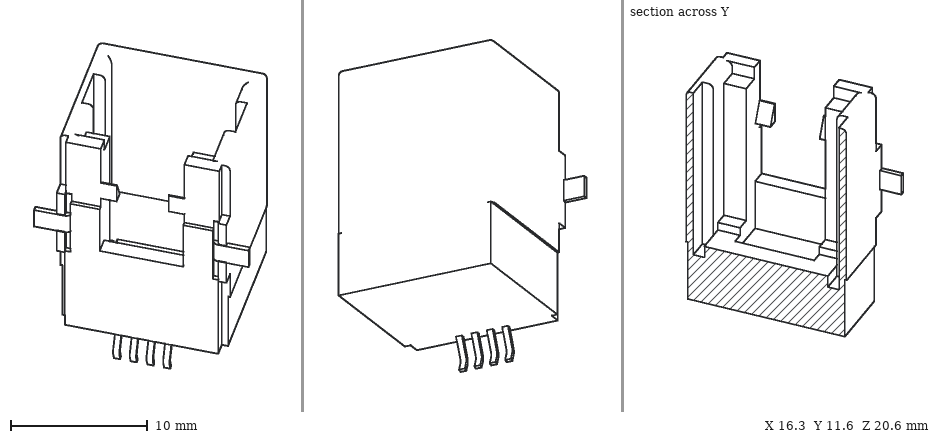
import cadquery as cq
import math


depth = 11.5
height = 18.05
shell_half = 6.45
base_half = 6.3
front_half = 5.83
base_top = 4.95
front_band = 1.0
outer_round = 0.4

setback = 0.3
setback_bottom = 12.25

cavity_half = 4.96
cavity_front = 1.3
cavity_back = 9.7
cavity_floor = base_top
mouth_round = 0.43

recess_floor = 4.0
groove_half = front_half
groove_front = 4.7
groove_back = 7.9

slot_half = 3.175
slot_bottom = 8.08
pocket_front = 1.2
pocket_back = 4.78

guide_back = 2.79
guide_top = 17.05
step_back = 3.88
step_top = 5.6

catch_inner = 1.97
catch_top = 14.63
catch_bottom = 13.07
catch_land = 0.4
catch_back = 1.14

cheek_bottom = 7.28
cheek_top = 13.08
tab_slot_inner = 5.4
tab_slot_depth = 0.35
tab_slot_clearance = 0.15

overall_half_width = 16.31 / 2
tab_thickness = 0.38
tab_proud = 0.07
tab_bottom = 9.35
tab_top = 11.0
tab_bend_outer = front_half - tab_slot_inner
tab_bend_inner = tab_bend_outer - tab_thickness

pin_count = 4
pin_pitch = 1.27
pin_width = 0.48
pin_thickness = 0.27
pin_drop = 2.55
pin_proud = 0.1
pin_bend_radius = 0.75
pin_bend_top = -1.43
pin_upper_angle = math.radians(23.4)
pin_lower_angle = math.radians(20)
pin_embed = 0.8


def block(x0, x1, y0, y1, z0, z1):
    """Box given by its limits along each axis."""
    return cq.Workplane("XY").box(x1 - x0, y1 - y0, z1 - z0, centered=False).translate((x0, y0, z0))


def both_sides(shape):
    """The shape together with its mirror image across X = 0."""
    return shape.union(shape.mirror("YZ"))


def make_shell():
    upper = block(-shell_half, shell_half, front_band, depth, base_top, height)
    upper = upper.edges("|Z and >Y").fillet(outer_round)
    upper = upper.faces(">Z").edges("not <Y").fillet(outer_round)
    base = block(-base_half, base_half, front_band, depth, 0, base_top)
    front = block(-front_half, front_half, 0, front_band, 0, height)
    cheek = block(front_half, shell_half, 0, front_band, cheek_bottom, cheek_top)
    cut = block(-front_half, front_half, 0, setback, setback_bottom, height)
    return upper.union(base).union(front.cut(cut)).union(both_sides(cheek))


def make_cavity():
    """Cavity with a rounded mouth on its back and sides and a square front edge."""
    arc_mid = mouth_round * (1 - math.sqrt(0.5))
    mid_z = height - arc_mid
    arc_start = height - mouth_round
    mouth_half = cavity_half + mouth_round
    mouth_back = cavity_back + mouth_round

    across = (
        cq.Workplane("XZ")
        .moveTo(-cavity_half, cavity_floor)
        .lineTo(cavity_half, cavity_floor)
        .lineTo(cavity_half, arc_start)
        .threePointArc((cavity_half + arc_mid, mid_z), (mouth_half, height))
        .lineTo(-mouth_half, height)
        .threePointArc((-cavity_half - arc_mid, mid_z), (-cavity_half, arc_start))
        .close()
        .extrude(-depth)
    )
    along = (
        cq.Workplane("YZ")
        .moveTo(cavity_front, cavity_floor)
        .lineTo(cavity_back, cavity_floor)
        .lineTo(cavity_back, arc_start)
        .threePointArc((cavity_back + arc_mid, mid_z), (mouth_back, height))
        .lineTo(cavity_front, height)
        .close()
        .extrude(shell_half, both=True)
    )
    return across.intersect(along)


def make_groove():
    return block(cavity_half, groove_half, groove_front, groove_back, recess_floor, height)


def make_latch_opening():
    slot = block(-slot_half, slot_half, 0, cavity_front, slot_bottom, height)
    pocket = block(-slot_half, slot_half, pocket_front, pocket_back, recess_floor, slot_bottom)
    return slot.union(pocket)


def make_guide():
    guide = block(slot_half, cavity_half, cavity_front, guide_back, cavity_floor, guide_top)
    step = block(slot_half, cavity_half, guide_back, step_back, cavity_floor, step_top)
    return guide.union(step)


def make_catch():
    """Wedge beside the latch slot whose top slopes down towards the cavity."""
    return (
        cq.Workplane("YZ", origin=(catch_inner, 0, 0))
        .moveTo(setback, catch_bottom)
        .lineTo(catch_back, catch_bottom)
        .lineTo(catch_land, catch_top)
        .lineTo(setback, catch_top)
        .close()
        .extrude(slot_half - catch_inner)
    )


def make_tab_slot():
    return block(
        tab_slot_inner,
        front_half,
        0,
        tab_slot_depth,
        cheek_bottom + tab_slot_clearance,
        cheek_top - tab_slot_clearance,
    )


def make_tab():
    """Strip rising out of its slot and bent outwards past the housing side."""
    bend_y = tab_bend_outer - tab_proud
    diagonal = math.sqrt(0.5)
    leg_x = tab_slot_inner + tab_thickness
    outer_mid = (front_half - tab_bend_outer * diagonal, bend_y - tab_bend_outer * diagonal)
    inner_mid = (front_half - tab_bend_inner * diagonal, bend_y - tab_bend_inner * diagonal)
    return (
        cq.Workplane("XY", origin=(0, 0, tab_bottom))
        .moveTo(tab_slot_inner, front_band)
        .lineTo(tab_slot_inner, bend_y)
        .threePointArc(outer_mid, (front_half, -tab_proud))
        .lineTo(overall_half_width, -tab_proud)
        .lineTo(overall_half_width, tab_thickness - tab_proud)
        .lineTo(front_half, tab_thickness - tab_proud)
        .threePointArc(inner_mid, (leg_x, bend_y))
        .lineTo(leg_x, front_band)
        .close()
        .extrude(tab_top - tab_bottom)
    )


def make_pin(x):
    """Contact leg sloping forward out of the underside, then curving back at its tip."""
    centre_y = pin_bend_radius - pin_proud
    centre_z = pin_bend_top - pin_bend_radius * math.sin(pin_upper_angle)
    inner_radius = pin_bend_radius - pin_thickness

    def on_bend(radius, angle):
        return (centre_y - radius * math.cos(angle), centre_z + radius * math.sin(angle))

    def beyond(point, angle, length):
        rise = math.copysign(length * math.cos(angle), angle)
        return (point[0] + length * math.sin(abs(angle)), point[1] + rise)

    upper = pin_upper_angle
    lower = -pin_lower_angle
    outer_top = on_bend(pin_bend_radius, upper)
    outer_low = on_bend(pin_bend_radius, lower)
    inner_top = on_bend(inner_radius, upper)
    inner_low = on_bend(inner_radius, lower)
    tip_length = (outer_low[1] + pin_drop) / math.cos(lower)
    leg_length = (pin_embed - pin_bend_top) / math.cos(upper)
    return (
        cq.Workplane("YZ", origin=(x - pin_width / 2, 0, 0))
        .moveTo(*beyond(outer_top, upper, leg_length))
        .lineTo(*outer_top)
        .threePointArc(on_bend(pin_bend_radius, 0), outer_low)
        .lineTo(*beyond(outer_low, lower, tip_length))
        .lineTo(*beyond(inner_low, lower, tip_length))
        .lineTo(*inner_low)
        .threePointArc(on_bend(inner_radius, 0), inner_top)
        .lineTo(*beyond(inner_top, upper, leg_length))
        .close()
        .extrude(pin_width)
    )


housing = make_shell().cut(make_cavity())
housing = housing.cut(both_sides(make_groove()))
housing = housing.union(both_sides(make_guide()))
housing = housing.cut(make_latch_opening())
housing = housing.cut(both_sides(make_tab_slot()))
housing = housing.union(both_sides(make_catch()))

result = housing.union(both_sides(make_tab()))
for index in range(pin_count):
    result = result.union(make_pin((index - (pin_count - 1) / 2) * pin_pitch))